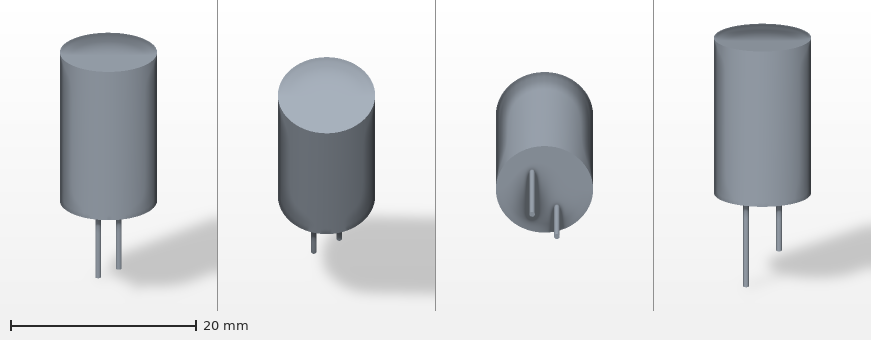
import cadquery as cq

total_height = 27.5
can_diameter = 10.5
long_lead_length = 10.0
short_lead_length = 7.0
lead_diameter = 0.6
lead_pitch = 5.0

can_height = total_height - long_lead_length


def make_can():
    """Can with its flat underside at Z = 0."""
    return cq.Workplane("XY").circle(can_diameter / 2).extrude(can_height)


def make_lead(x, length):
    """Straight round lead hanging from the underside of the can."""
    return cq.Workplane("XY").center(x, 0).circle(lead_diameter / 2).extrude(-length)


can = make_can()

lead_layout = [
    (-lead_pitch / 2, long_lead_length),
    (lead_pitch / 2, short_lead_length),
]
leads = [make_lead(x, length) for x, length in lead_layout]

result = cq.Compound.makeCompound([can.val(), *[lead.val() for lead in leads]])